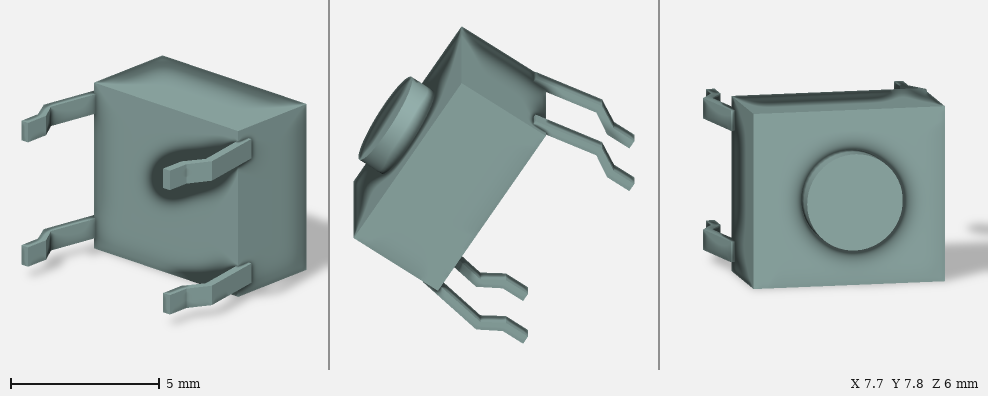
import cadquery as cq

overall_width = 7.7
overall_depth = 7.8
body_height = 6.0

body_width = 6.6
body_depth = 3.4
button_diameter = 3.3
button_projection = 0.9

leg_breadth = 0.7
leg_thickness = 0.305
leg_pitch = 4.5
leg_root_depth = 0.51
leg_root_x = 3.43
knee_x = overall_width / 2
knee_y = -1.9
knee_inner_rise = 0.03
foot_x = 3.4
foot_bend_y = -2.68
foot_inner_rise = 0.08
foot_tip_y = body_depth + button_projection - overall_depth


def make_body():
    return cq.Workplane("XY").box(body_width, body_depth, body_height).translate((0, body_depth / 2, 0))


def make_button():
    """Round button standing on the +Y face of the body."""
    plane = cq.Workplane("XZ", origin=(0, body_depth, 0))
    return plane.circle(button_diameter / 2).extrude(-button_projection)


def make_leg(center_z):
    """Leg on the +X side: splayed shank, inward bend and straight foot."""
    outer_edge = [
        (leg_root_x, leg_root_depth),
        (knee_x, knee_y),
        (foot_x, foot_bend_y),
        (foot_x, foot_tip_y),
    ]
    inner_edge = [
        (foot_x - leg_thickness, foot_tip_y),
        (foot_x - leg_thickness, foot_bend_y + foot_inner_rise),
        (knee_x - leg_thickness, knee_y + knee_inner_rise),
        (leg_root_x - leg_thickness, leg_root_depth),
    ]
    plane = cq.Workplane("XY", origin=(0, 0, center_z))
    return plane.polyline(outer_edge + inner_edge).close().extrude(leg_breadth / 2, both=True)


result = make_body().union(make_button())
for leg_z in (-leg_pitch / 2, leg_pitch / 2):
    right_leg = make_leg(leg_z)
    result = result.union(right_leg).union(right_leg.mirror("YZ"))